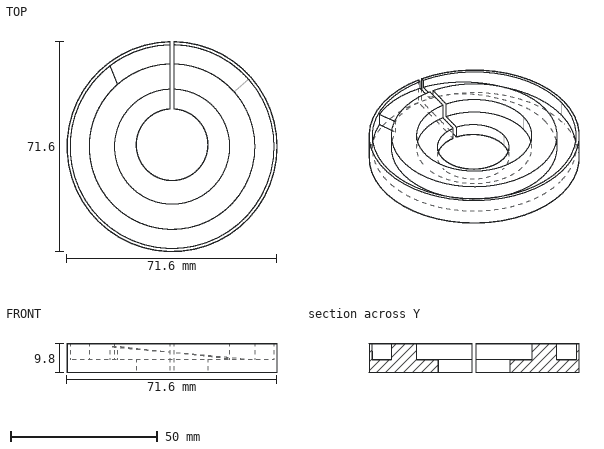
import cadquery as cq
import math

outer_radius = 35.8
height = 9.8
rim_thickness = 1.1
rim_inner_radius = outer_radius - rim_thickness
hub_radius = 28.2
recess_radius = 19.6
floor_height = 4.4

bore_radius = 12.2
bore_offset = 0.65
slot_width = 1.3

ramp_start_angle = 41.4
ramp_sweep_angle = 95.0
ramp_rise_per_turn = 18.3
end_outer = (-21.05, 27.35)
end_inner = (-18.6, 21.25)
overlap = 0.35


def cylinder(radius, bottom, top):
    return cq.Workplane("XY").workplane(offset=bottom).circle(radius).extrude(top - bottom)


def make_body():
    groove = cylinder(rim_inner_radius, floor_height, height).cut(
        cylinder(hub_radius, floor_height, height)
    )
    recess = cylinder(recess_radius, floor_height, height)
    return cylinder(outer_radius, 0, height).cut(groove).cut(recess)


def make_ramp():
    """Sweep a radial section along a helix, then trim it to the groove and end face."""
    inner = hub_radius - overlap
    outer = rim_inner_radius + overlap
    section_inner = inner - overlap
    section_outer = outer + overlap
    rise = ramp_rise_per_turn * ramp_sweep_angle / 360
    path = cq.Wire.makeHelix(
        ramp_rise_per_turn, rise, section_inner, center=cq.Vector(0, 0, floor_height)
    )
    ramp = (
        cq.Workplane("XZ")
        .polyline([(section_inner, floor_height), (section_outer, floor_height),
                   (section_outer, floor_height - height), (section_inner, floor_height - height)])
        .close()
        .sweep(cq.Workplane(path), isFrenet=True)
        .rotate((0, 0, 0), (0, 0, 1), ramp_start_angle)
    )
    ring = cylinder(outer, floor_height - overlap, height).cut(cylinder(inner, 0, height))

    end_angle = math.degrees(math.atan2(end_outer[1] - end_inner[1], end_outer[0] - end_inner[0]))
    beyond_end = (
        cq.Workplane("XY")
        .box(2 * outer_radius, outer_radius, 2 * height, centered=(True, False, True))
        .rotate((0, 0, 0), (0, 0, 1), end_angle)
        .translate((end_inner[0], end_inner[1], height / 2))
    )
    return ramp.intersect(ring).cut(beyond_end)


bore = cylinder(bore_radius, 0, height).translate((0, bore_offset, 0))
slot = cq.Workplane("XY").box(slot_width, outer_radius, height, centered=(True, False, False))

result = make_body().union(make_ramp()).cut(bore).cut(slot)